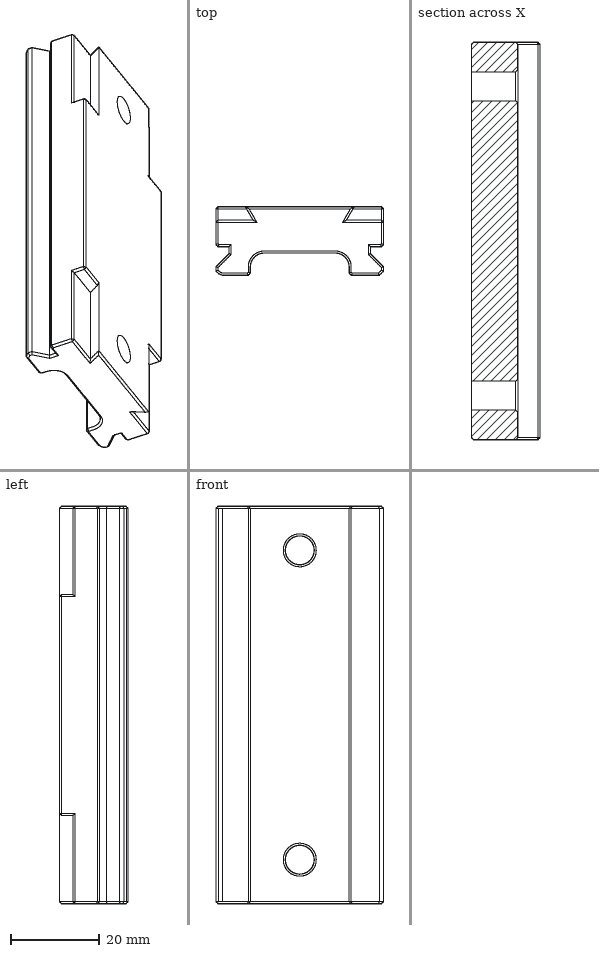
import cadquery as cq
import math

WIDTH = 38.0
DEPTH = 15.6
LENGTH = 90.0
EDGE_CHAMFER = 0.495

HALF_WIDTH = WIDTH / 2
HALF_LENGTH = LENGTH / 2
FRONT = -DEPTH / 2
BACK = DEPTH / 2

BODY_FRONT = BACK - 9.1
GROOVE_HALF_WIDTH = 16.0
GROOVE_BEND = BACK - 10.6
JAW_TIP = GROOVE_BEND - (HALF_WIDTH - GROOVE_HALF_WIDTH)
JAW_CHAMFER = 1.0

CHANNEL_HALF_WIDTH = 11.2
CHANNEL_FLOOR = FRONT + 5.0
CHANNEL_FILLET = 3.15

DOVETAIL_HALF_WIDTH = 12.3
DOVETAIL_ANGLE = 60.0
NOTCH_DEPTH = 3.1
NOTCH_LENGTH = 20.0
NOTCH_FLOOR = BACK - NOTCH_DEPTH
NOTCH_END = HALF_LENGTH - NOTCH_LENGTH
ROOT_HALF_WIDTH = DOVETAIL_HALF_WIDTH - NOTCH_DEPTH / math.tan(math.radians(DOVETAIL_ANGLE))

HOLE_RADIUS = 6.5 / 2
HOLE_SPACING = 70.0

MARGIN = 0.1


def make_rail():
    """Full-length rail from half of the cross-section and its mirror image."""
    half_section = (
        cq.Workplane("XY")
        .moveTo(0, BACK)
        .lineTo(HALF_WIDTH, BACK)
        .lineTo(HALF_WIDTH, BODY_FRONT + EDGE_CHAMFER)
        .lineTo(HALF_WIDTH - EDGE_CHAMFER, BODY_FRONT)
        .lineTo(GROOVE_HALF_WIDTH, BODY_FRONT)
        .lineTo(GROOVE_HALF_WIDTH, GROOVE_BEND)
        .lineTo(HALF_WIDTH, JAW_TIP)
        .lineTo(HALF_WIDTH, FRONT + JAW_CHAMFER)
        .lineTo(HALF_WIDTH - JAW_CHAMFER, FRONT)
        .lineTo(CHANNEL_HALF_WIDTH + EDGE_CHAMFER, FRONT)
        .lineTo(CHANNEL_HALF_WIDTH, FRONT + EDGE_CHAMFER)
        .lineTo(CHANNEL_HALF_WIDTH, CHANNEL_FLOOR - CHANNEL_FILLET)
        .radiusArc((CHANNEL_HALF_WIDTH - CHANNEL_FILLET, CHANNEL_FLOOR), -CHANNEL_FILLET)
        .lineTo(0, CHANNEL_FLOOR)
        .close()
        .extrude(HALF_LENGTH, both=True)
    )
    return half_section.union(half_section.mirror("YZ"))


def break_left_jaw_edge(rail):
    """Second, smaller chamfer where the left jaw chamfer meets the front face."""
    edge_x = -HALF_WIDTH + JAW_CHAMFER
    edge = cq.selectors.BoxSelector(
        (edge_x - MARGIN, FRONT - MARGIN, -MARGIN),
        (edge_x + MARGIN, FRONT + MARGIN, MARGIN),
    )
    return rail.edges(edge).chamfer(EDGE_CHAMFER)


def make_notch(side, end):
    """Cutter for one back corner: side is the sign of X, end the sign of Z."""
    outline = [
        (side * DOVETAIL_HALF_WIDTH, BACK),
        (side * ROOT_HALF_WIDTH, NOTCH_FLOOR),
        (side * HALF_WIDTH, NOTCH_FLOOR),
        (side * HALF_WIDTH, BACK),
    ]
    return (
        cq.Workplane("XY", origin=(0, 0, end * HALF_LENGTH))
        .polyline(outline)
        .close()
        .extrude(-end * NOTCH_LENGTH)
    )


def chamfer_outer_edges(rail):
    """Chamfer both end faces, the back side edges and the rims of the notches."""
    outer_edges = rail.faces("<Z or >Z").edges()
    for side in (-1, 1):
        side_edges = cq.selectors.BoxSelector(
            (side * HALF_WIDTH - MARGIN, NOTCH_FLOOR - MARGIN, -HALF_LENGTH + MARGIN),
            (side * HALF_WIDTH + MARGIN, BACK + MARGIN, HALF_LENGTH - MARGIN),
        )
        outer_edges = outer_edges.add(rail.edges(side_edges))
    for end in (-1, 1):
        step_edges = cq.selectors.BoxSelector(
            (-HALF_WIDTH + MARGIN, BACK - MARGIN, end * NOTCH_END - MARGIN),
            (HALF_WIDTH - MARGIN, BACK + MARGIN, end * NOTCH_END + MARGIN),
        )
        outer_edges = outer_edges.add(rail.edges(step_edges))
    return outer_edges.chamfer(EDGE_CHAMFER)


def make_hole(z):
    """Cutter for one through hole, with a chamfered mouth in the channel floor."""
    mouth = cq.Workplane("XZ", origin=(0, CHANNEL_FLOOR, z))
    bore = mouth.circle(HOLE_RADIUS).extrude(-DEPTH)
    chamfer_cone = (
        mouth.circle(HOLE_RADIUS + EDGE_CHAMFER)
        .workplane(offset=-EDGE_CHAMFER)
        .circle(HOLE_RADIUS)
        .loft()
    )
    return bore.union(chamfer_cone)


result = break_left_jaw_edge(make_rail())
for end in (-1, 1):
    for side in (-1, 1):
        result = result.cut(make_notch(side, end))
result = chamfer_outer_edges(result)
for end in (-1, 1):
    result = result.cut(make_hole(end * HOLE_SPACING / 2))